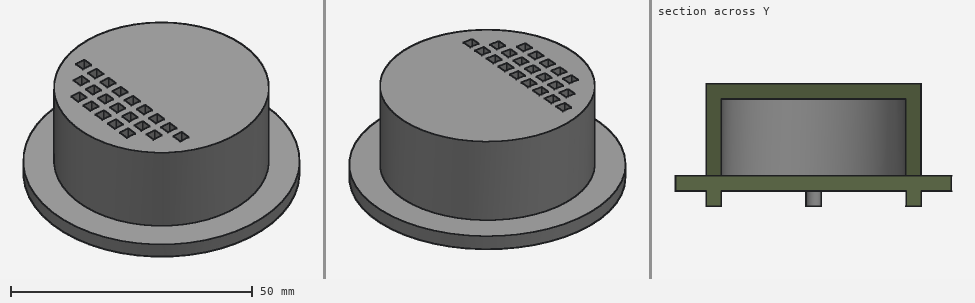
import cadquery as cq

plate_diameter = 57.15
plate_thickness = 3.2

cap_diameter = 44.45
cavity_diameter = 38.1
cap_height = 19.05
roof_thickness = plate_thickness
wall_thickness = (cap_diameter - cavity_diameter) / 2

peg_count = 4
peg_diameter = 3.2
peg_length = 3.15
peg_circle_radius = (cap_diameter - wall_thickness) / 2

vent_side = 2.3
vents_per_row = (9, 7, 5)
longest_row_span = 31.8
vent_pitch_x = longest_row_span / (vents_per_row[0] - 1)
vent_pitch_y = 3.9
vent_rows_center_x = -0.37
first_vent_row_y = -7.5

cap_turn_angle = 0.3


def make_base():
    """Round plate with its top face at Z = 0 and pegs on its underside."""
    plate = cq.Workplane("XY").circle(plate_diameter / 2).extrude(-plate_thickness)
    pegs = (
        cq.Workplane("XY")
        .workplane(offset=-plate_thickness)
        .polarArray(peg_circle_radius, 0, 360, peg_count)
        .circle(peg_diameter / 2)
        .extrude(-peg_length)
    )
    return plate.union(pegs)


def vent_centers():
    """Centre points of all vents, row by row away from the cap centre."""
    centers = []
    for row, count in enumerate(vents_per_row):
        y = first_vent_row_y - row * vent_pitch_y
        first_x = vent_rows_center_x - (count - 1) / 2 * vent_pitch_x
        for column in range(count):
            centers.append((first_x + column * vent_pitch_x, y))
    return centers


def make_cap():
    """Cup with its open end on the plate and vents through its roof only."""
    shell = cq.Workplane("XY").circle(cap_diameter / 2).extrude(cap_height)
    cavity = cq.Workplane("XY").circle(cavity_diameter / 2).extrude(cap_height - roof_thickness)
    vents = (
        cq.Workplane("XY")
        .workplane(offset=cap_height)
        .pushPoints(vent_centers())
        .rect(vent_side, vent_side)
        .extrude(-roof_thickness)
    )
    return shell.cut(cavity).cut(vents)


base = make_base()
cap = make_cap().rotate((0, 0, 0), (0, 0, 1), -cap_turn_angle)

result = cq.Compound.makeCompound([base.val(), cap.val()])